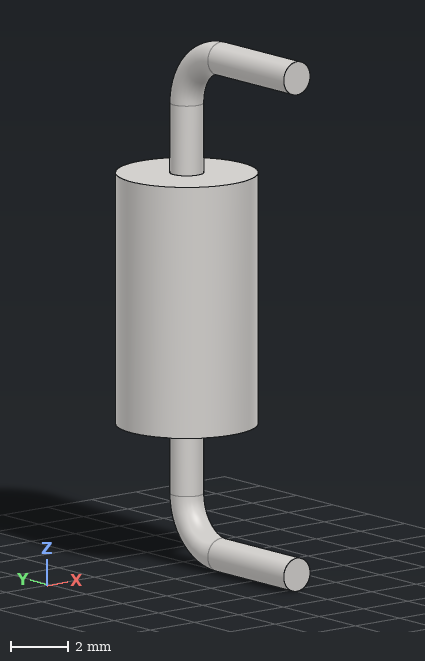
import cadquery as cq

overall_height = 18.98
body_diameter = 5.01
body_height = 9.0
lead_diameter = 1.2
bend_radius = 1.9
lead_reach = 6.11

lead_axis_z = (overall_height - lead_diameter) / 2
bend_start_z = lead_axis_z - bend_radius


def make_body():
    """Cylindrical body centred on the origin, with its axis along Z."""
    return cq.Workplane("XY").cylinder(body_height, body_diameter / 2)


def make_upper_lead():
    """Round lead that rises from the body centre and bends toward -Y."""
    path = (
        cq.Workplane("YZ")
        .lineTo(0, bend_start_z)
        .radiusArc((-bend_radius, lead_axis_z), -bend_radius)
        .lineTo(-lead_reach, lead_axis_z)
    )
    return cq.Workplane("XY").circle(lead_diameter / 2).sweep(path)


upper_lead = make_upper_lead()
lower_lead = upper_lead.mirror("XY")

result = make_body().union(upper_lead).union(lower_lead)